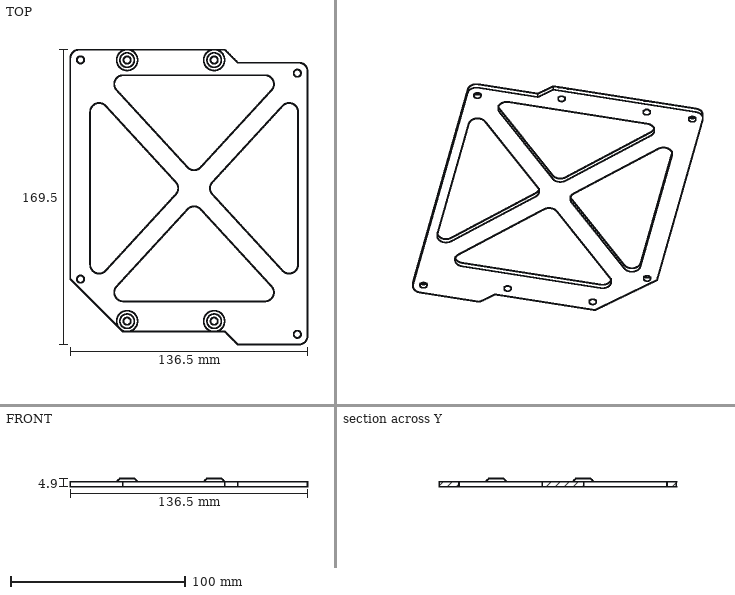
import cadquery as cq
import math

width = 136.5
depth = 169.5
plate_thickness = 3.0
edge_step = 7.5
step_end_x = 96.3
step_start_x = step_end_x - edge_step
corner_cut = 37.6
corner_radius = 5.1

opening_left = 11.5
opening_right = 130.9
opening_front = 25.0
opening_back = 154.8
brace_width = 10.8
window_radius = 5.1

hole_diameter = 4.0
boss_base_diameter = 12.0
boss_top_diameter = 8.3
boss_height = 1.9
boss_left_x = 32.7
boss_spacing_x = 50.0
mount_spacing_y = 150.0
hole_inset = 6.0
back_boss_y = depth - boss_base_diameter / 2
front_boss_y = back_boss_y - mount_spacing_y
boss_points = [
    (x, y)
    for x in (boss_left_x, boss_left_x + boss_spacing_x)
    for y in (front_boss_y, back_boss_y)
]
corner_hole_points = [
    (hole_inset, depth - hole_inset),
    (hole_inset, corner_cut),
    (width - hole_inset, hole_inset),
    (width - hole_inset, hole_inset + mount_spacing_y),
]


def make_plate():
    outline = [
        (0, corner_cut),
        (corner_cut - edge_step, edge_step),
        (step_start_x, edge_step),
        (step_end_x, 0),
        (width, 0),
        (width, depth - edge_step),
        (step_end_x, depth - edge_step),
        (step_start_x, depth),
        (0, depth),
    ]
    plate = cq.Workplane("XY").polyline(outline).close().extrude(plate_thickness)
    rounded_corners = [(width, 0), (width, depth - edge_step), (0, depth)]
    for x, y in rounded_corners:
        corner_edge = cq.selectors.NearestToPointSelector((x, y, plate_thickness / 2))
        plate = plate.edges(corner_edge).fillet(corner_radius)
    return plate


def make_windows():
    """Rectangular opening split into four rounded triangles by diagonal braces."""
    opening_width = opening_right - opening_left
    opening_depth = opening_back - opening_front
    center = ((opening_left + opening_right) / 2, (opening_front + opening_back) / 2)
    brace_angle = math.degrees(math.atan2(opening_depth, opening_width))
    brace_length = 2 * math.hypot(opening_width, opening_depth)

    opening = cq.Workplane("XY").center(*center)
    opening = opening.rect(opening_width, opening_depth).extrude(plate_thickness)
    for angle in (brace_angle, -brace_angle):
        brace = cq.Workplane("XY").rect(brace_length, brace_width).extrude(plate_thickness)
        brace = brace.rotate((0, 0, 0), (0, 0, 1), angle).translate((*center, 0))
        opening = opening.cut(brace)
    return opening.edges("|Z").fillet(window_radius)


def make_boss(x, y):
    base_radius = boss_base_diameter / 2
    top_radius = boss_top_diameter / 2
    cone = cq.Solid.makeCone(base_radius, top_radius, boss_height)
    return cq.Workplane(cone.translate(cq.Vector(x, y, plate_thickness)))


result = make_plate().cut(make_windows())
for boss_x, boss_y in boss_points:
    result = result.union(make_boss(boss_x, boss_y))

holes = (
    cq.Workplane("XY")
    .pushPoints(boss_points + corner_hole_points)
    .circle(hole_diameter / 2)
    .extrude(plate_thickness + boss_height)
)
result = result.cut(holes)